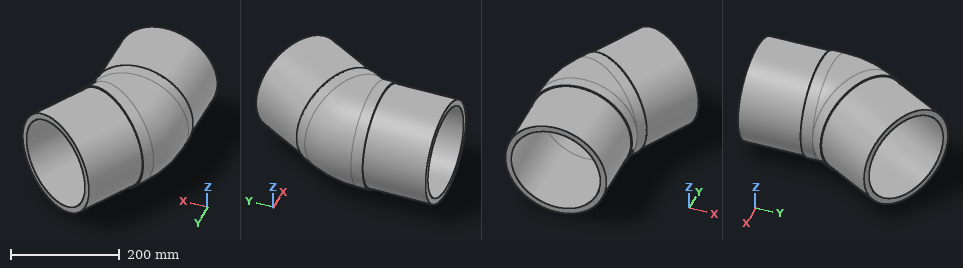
import cadquery as cq
import math

bend_angle = 30.0
pipe_diameter = 200.0
bore_diameter = 176.0
collar_diameter = 205.0
collar_length = 23.5
overall_y = 376.5

pivot_clearance = 0.5
outer_bend_radius = collar_diameter / 2 + pivot_clearance
bore_bend_radius = bore_diameter / 2 + pivot_clearance

angle = math.radians(bend_angle)
rim_rise = pipe_diameter / 2 * math.sin(angle)
end_distance = (overall_y - rim_rise) / (1 + math.cos(angle))


def bend_setback(bend_radius):
    """Distance from the origin to either end of a bend."""
    return bend_radius * math.tan(angle / 2)


def bend(diameter, bend_radius):
    """Round section turned about a vertical axis on the +X side."""
    return (
        cq.Workplane("XZ", origin=(0, -bend_setback(bend_radius), 0))
        .circle(diameter / 2)
        .revolve(bend_angle, (bend_radius, 3.8, 0), (bend_radius, 0, 0))
    )


def two_legs(diameter, start, end):
    """Matching cylinders on both legs, between two distances from the origin."""
    near_leg = (
        cq.Workplane("XZ", origin=(0, -start, 0))
        .circle(diameter / 2)
        .extrude(end - start)
    )
    far_leg = near_leg.mirror("XZ").rotate((0, 0, 0), (0, 0, 1), -bend_angle)
    return near_leg, far_leg


outer_start = bend_setback(outer_bend_radius)
collar_end = outer_start + collar_length
body = bend(collar_diameter, outer_bend_radius)
for collar in two_legs(collar_diameter, outer_start, collar_end):
    body = body.union(collar)
for pipe in two_legs(pipe_diameter, outer_start, end_distance):
    body = body.union(pipe)

bore = bend(bore_diameter, bore_bend_radius)
for bore_leg in two_legs(bore_diameter, bend_setback(bore_bend_radius), end_distance):
    bore = bore.union(bore_leg)

result = body.cut(bore)